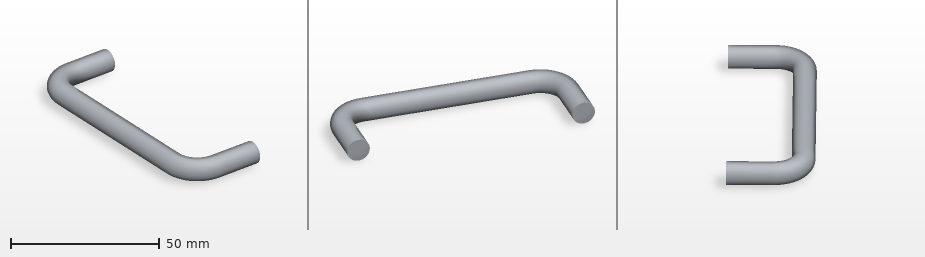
import cadquery as cq
import math

bar_diameter = 8.0
overall_width = 88.0
overall_depth = 30.0
bend_radius = 10.0

bar_radius = bar_diameter / 2
leg_x = overall_width / 2 - bar_radius
grip_y = bar_radius - overall_depth
bend_start_y = grip_y + bend_radius
grip_end_x = leg_x - bend_radius
bend_mid_offset = bend_radius * math.sin(math.radians(45))


def centre_line():
    """Path from the left leg end, along the grip, to the right leg end."""
    bend_mid_x = grip_end_x + bend_mid_offset
    bend_mid_y = bend_start_y - bend_mid_offset
    return (
        cq.Workplane("XY")
        .moveTo(-leg_x, 0)
        .lineTo(-leg_x, bend_start_y)
        .threePointArc((-bend_mid_x, bend_mid_y), (-grip_end_x, grip_y))
        .lineTo(grip_end_x, grip_y)
        .threePointArc((bend_mid_x, bend_mid_y), (leg_x, bend_start_y))
        .lineTo(leg_x, 0)
    )


def bent_bar():
    """Round bar section swept along the centre line."""
    section = cq.Workplane("XZ").center(-leg_x, 0).circle(bar_radius)
    return section.sweep(centre_line())


result = bent_bar()